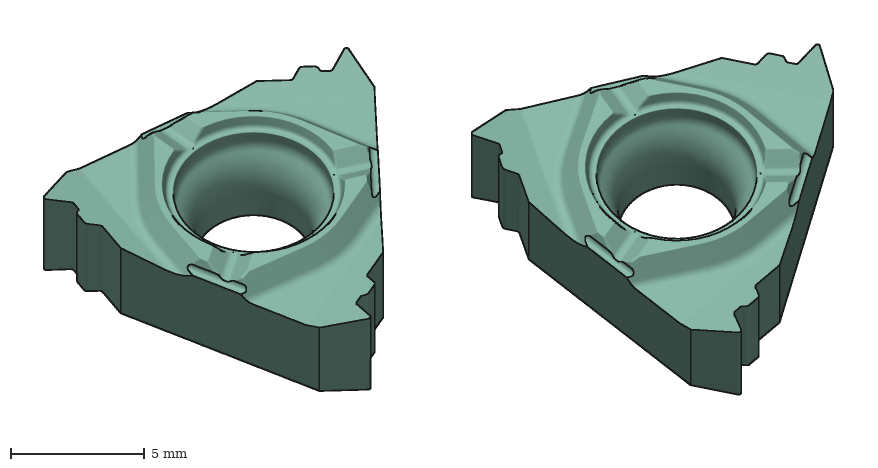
import cadquery as cq
import math


INSCRIBED_RADIUS = 4.75
HEIGHT = 4.2
FLOOR_Z = 3.4
CORNER_COUNT = 3
CORNER_STEP = 360 / CORNER_COUNT

FLANK_ANGLE = 60
OUTER_FLANK_DISTANCE = 6.76
TIP_X = -3.75
TIP_RADIUS = 0.103
ROOT_Y = -6.0
ROOT_START_X = -3.17
ROOT_END_X = -2.76
STEP_Y = -6.21
STEP_START_X = -2.6
STEP_END_X = -1.98
SHOULDER_Y = -5.68
ROOT_START_RADIUS = 0.14
ROOT_END_RADIUS = 0.08
STEP_RADIUS = 0.16
SHOULDER_RADIUS = 0.14

RAMP_START = 4.72
RAMP_ANGLE = 14.8
RAMP_BLEND_RADIUS = 0.52

BOSS_TOP_RADIUS = 3.7
BOSS_WALL_ANGLE = 48
BOSS_ARC_SPAN = 31.5
BOSS_BASE_FILLET = 0.44

HOLE_RADIUS = 4.4 / 2
HOLE_STRAIGHT_DEPTH = 1.4
SEAT_RADIUS = 2.15
SEAT_END_ANGLE = 45
COUNTERBORE_RADIUS = 3.01
SHELF_Z = 3.76
SHELF_WIDTH = 0.12
SHELF_ROUND = 0.034
MOUTH_WALL_ANGLE = 69
MOUTH_FILLET = 0.19
MOUTH_RADIUS = 3.43

GROOVE_ANGLE = 194.5
GROOVE_FLOOR_Z = SHELF_Z
GROOVE_FLOOR_WIDTH = 0.26
GROOVE_FLOOR_FILLET = 0.3
GROOVE_TOP_WIDTH = 1.53

RELIEF_FLOOR_Z = 3.7
RELIEF_FLOOR_WIDTH = 0.12
RELIEF_COVE_RADIUS = 0.2
RELIEF_TOP_WIDTH = 0.49
RELIEF_START_Y = -2.74
RELIEF_END_Y = 1.1

BOSS_EDGE_ROUND = 0.04
BOSS_CORNER_ROUND = 0.11
BOSS_CORNER_MIN_Z = 3.86
BOSS_CORNER_MIN_RISE = 0.03

MARGIN = 0.68
FLOOR_TOLERANCE = 0.01
REACH = 2 * INSCRIBED_RADIUS


def around_axis(shape):
    """Union of the shape repeated at every corner."""
    pattern = shape
    for i in range(1, CORNER_COUNT):
        pattern = pattern.union(shape.rotate((0, 0, 0), (0, 0, 1), i * CORNER_STEP))
    return pattern


def turned(point, degrees):
    """Point turned about the axis."""
    a = math.radians(degrees)
    x, y = point
    return (x * math.cos(a) - y * math.sin(a), x * math.sin(a) + y * math.cos(a))


def corner_profile():
    """Outline of the -Y corner, from one long side to the next."""
    flank_sin = math.sin(math.radians(FLANK_ANGLE))
    flank_cos = math.cos(math.radians(FLANK_ANGLE))
    start_y = (INSCRIBED_RADIUS * flank_sin - OUTER_FLANK_DISTANCE) / flank_cos
    tip_y = (-TIP_X * flank_sin - OUTER_FLANK_DISTANCE) / flank_cos
    shoulder_start_x = STEP_END_X + (SHOULDER_Y - STEP_Y) / math.tan(math.radians(FLANK_ANGLE))
    shoulder_end_x = (INSCRIBED_RADIUS + SHOULDER_Y * flank_sin) / flank_cos
    return [
        (-INSCRIBED_RADIUS, start_y),
        (TIP_X, tip_y),
        (ROOT_START_X, ROOT_Y),
        (ROOT_END_X, ROOT_Y),
        (STEP_START_X, STEP_Y),
        (STEP_END_X, STEP_Y),
        (shoulder_start_x, SHOULDER_Y),
        (shoulder_end_x, SHOULDER_Y),
    ]


def round_edges(prism, profile_points, radius):
    """Round the upright edges at the given profile points of every corner."""
    edges = []
    for i in range(CORNER_COUNT):
        for point in profile_points:
            x, y = turned(point, i * CORNER_STEP)
            nearest = cq.NearestToPointSelector((x, y, HEIGHT / 2))
            edges += prism.edges("|Z").edges(nearest).vals()
    return prism.newObject(edges).fillet(radius)


def outline_prism():
    profile = corner_profile()
    points = [turned(p, i * CORNER_STEP) for i in range(CORNER_COUNT) for p in profile]
    prism = cq.Workplane("XY").polyline(points).close().extrude(HEIGHT)
    _, tip, root_start, root_end, step_start, step_end, shoulder_start, _ = profile
    prism = round_edges(prism, [root_start], ROOT_START_RADIUS)
    prism = round_edges(prism, [root_end], ROOT_END_RADIUS)
    prism = round_edges(prism, [step_start, step_end], STEP_RADIUS)
    prism = round_edges(prism, [shoulder_start], SHOULDER_RADIUS)
    return round_edges(prism, [tip], TIP_RADIUS)


def boss_wire(radius, z):
    """Three pairs of flats, each pair joined by an arc about the axis."""
    half_corner = math.radians((CORNER_STEP - BOSS_ARC_SPAN) / 2)
    corner_radius = radius / math.cos(half_corner)
    arc_start = -90 - BOSS_ARC_SPAN
    wire = cq.Workplane("XY", origin=(0, 0, z)).moveTo(*turned((radius, 0), arc_start))
    for i in range(CORNER_COUNT):
        turn = arc_start + i * CORNER_STEP
        middle = turned((radius, 0), turn + BOSS_ARC_SPAN / 2)
        end = turned((radius, 0), turn + BOSS_ARC_SPAN)
        corner = turned((corner_radius, 0), turn + (CORNER_STEP + BOSS_ARC_SPAN) / 2)
        wire = wire.threePointArc(middle, end).lineTo(*corner)
        wire = wire.lineTo(*turned((radius, 0), turn + CORNER_STEP))
    return wire.close()


def floor_and_boss():
    rise = HEIGHT - FLOOR_Z
    base_radius = BOSS_TOP_RADIUS + rise / math.tan(math.radians(BOSS_WALL_ANGLE))
    boss = boss_wire(base_radius, FLOOR_Z).extrude(rise, taper=90 - BOSS_WALL_ANGLE)
    slab = cq.Workplane("XY").rect(2 * REACH, 2 * REACH).extrude(FLOOR_Z)
    inside = REACH - MARGIN
    base_edges = cq.selectors.BoxSelector(
        (-inside, -inside, FLOOR_Z - FLOOR_TOLERANCE),
        (inside, inside, FLOOR_Z + FLOOR_TOLERANCE),
    )
    return slab.union(boss).edges(base_edges).fillet(BOSS_BASE_FILLET)


def chip_ramp():
    """Wedge on the floor of the -Y corner, blended into the floor."""
    slope = math.radians(RAMP_ANGLE)
    blend = RAMP_BLEND_RADIUS * math.tan(slope / 2)
    end_z = FLOOR_Z + (REACH - RAMP_START) * math.tan(slope)
    return (
        cq.Workplane("YZ", origin=(-INSCRIBED_RADIUS - MARGIN, 0, 0))
        .moveTo(-RAMP_START + blend, FLOOR_Z)
        .threePointArc(
            (
                -RAMP_START + blend - RAMP_BLEND_RADIUS * math.sin(slope / 2),
                FLOOR_Z + RAMP_BLEND_RADIUS * (1 - math.cos(slope / 2)),
            ),
            (-RAMP_START - blend * math.cos(slope), FLOOR_Z + blend * math.sin(slope)),
        )
        .lineTo(-REACH, end_z)
        .lineTo(-REACH, 0)
        .lineTo(-RAMP_START + blend, 0)
        .close()
        .extrude(INSCRIBED_RADIUS + REACH / 2)
    )


def screw_hole():
    """Bore, flared seat, counterbore, ledge and mouth as one revolved cutter."""
    flare = math.radians(SEAT_END_ANGLE)
    wall = math.radians(MOUTH_WALL_ANGLE)
    seat_end_r = HOLE_RADIUS + SEAT_RADIUS * (1 - math.cos(flare))
    seat_end_z = HOLE_STRAIGHT_DEPTH + SEAT_RADIUS * math.sin(flare)
    cove_radius = (COUNTERBORE_RADIUS - seat_end_r) / (1 - math.cos(flare))
    cove_end_z = seat_end_z + cove_radius * math.sin(flare)
    return (
        cq.Workplane("XZ")
        .lineTo(HOLE_RADIUS, 0)
        .lineTo(HOLE_RADIUS, HOLE_STRAIGHT_DEPTH)
        .threePointArc(
            (
                HOLE_RADIUS + SEAT_RADIUS * (1 - math.cos(flare / 2)),
                HOLE_STRAIGHT_DEPTH + SEAT_RADIUS * math.sin(flare / 2),
            ),
            (seat_end_r, seat_end_z),
        )
        .tangentArcPoint((COUNTERBORE_RADIUS, cove_end_z), relative=False)
        .lineTo(COUNTERBORE_RADIUS, SHELF_Z - SHELF_ROUND)
        .tangentArcPoint((SHELF_ROUND, SHELF_ROUND))
        .lineTo(COUNTERBORE_RADIUS + SHELF_WIDTH, SHELF_Z)
        .tangentArcPoint(
            (MOUTH_FILLET * math.sin(wall), MOUTH_FILLET * (1 - math.cos(wall)))
        )
        .lineTo(MOUTH_RADIUS, HEIGHT)
        .lineTo(0, HEIGHT)
        .close()
        .revolve(360, (0, 0, 0), (0, 1, 0))
    )


def groove():
    """V groove running out along +X, turned to its place."""
    return (
        cq.Workplane("YZ")
        .moveTo(-GROOVE_FLOOR_WIDTH / 2, GROOVE_FLOOR_Z)
        .lineTo(GROOVE_FLOOR_WIDTH / 2, GROOVE_FLOOR_Z)
        .lineTo(GROOVE_TOP_WIDTH / 2, HEIGHT)
        .lineTo(-GROOVE_TOP_WIDTH / 2, HEIGHT)
        .close()
        .extrude(REACH)
        .edges("|X and <Z")
        .fillet(GROOVE_FLOOR_FILLET)
        .rotate((0, 0, 0), (0, 0, 1), GROOVE_ANGLE)
    )


def side_relief():
    """Ledge with a coved back wall along the -X side."""
    side = -INSCRIBED_RADIUS
    cove_start = side + RELIEF_FLOOR_WIDTH
    return (
        cq.Workplane("XZ", origin=(0, RELIEF_END_Y, 0))
        .moveTo(side - MARGIN, RELIEF_FLOOR_Z)
        .lineTo(cove_start, RELIEF_FLOOR_Z)
        .tangentArcPoint((RELIEF_COVE_RADIUS, RELIEF_COVE_RADIUS))
        .lineTo(side + RELIEF_TOP_WIDTH, HEIGHT)
        .lineTo(side - MARGIN, HEIGHT)
        .close()
        .extrude(RELIEF_END_Y - RELIEF_START_Y)
    )


def boss_corner_edges(part):
    """Edges that climb between the cut floors and the boss top."""
    edges = []
    for edge in part.edges().vals():
        low, high = sorted((edge.startPoint().z, edge.endPoint().z))
        if low > BOSS_CORNER_MIN_Z and high - low > BOSS_CORNER_MIN_RISE:
            edges.append(edge)
    return part.newObject(edges)


body = floor_and_boss().union(around_axis(chip_ramp())).intersect(outline_prism())
body = body.cut(screw_hole()).cut(around_axis(groove())).cut(around_axis(side_relief()))
body = boss_corner_edges(body).fillet(BOSS_CORNER_ROUND)
result = body.faces(">Z").edges().fillet(BOSS_EDGE_ROUND)